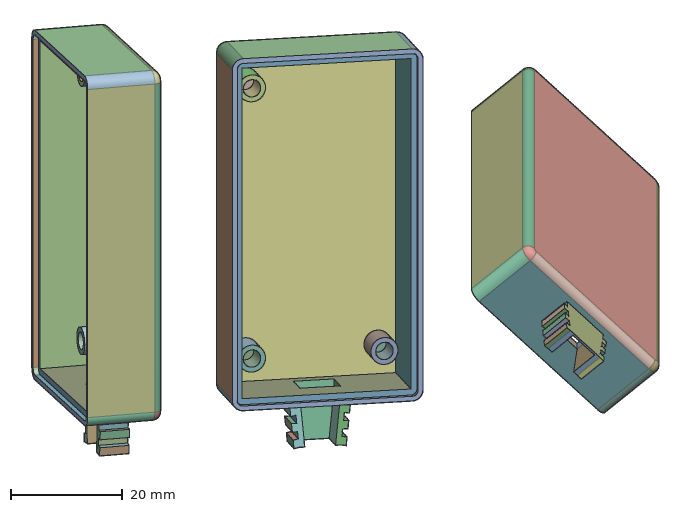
import cadquery as cq

width = 35.0
depth = 14.0
total_height = 74.1
relief_length = 9.1
height = total_height - relief_length
wall = 2.0
floor = 1.0
corner_radius = 2.0
back_radius = 1.5
lip_width = 0.9
lip_depth = 1.0

boss_diameter = 5.0
boss_bore = 3.2
boss_length = 5.5
boss_x = width / 2 - 5.3
boss_inset_z = 7.55

relief_front = 6.0
relief_depth = 5.5
relief_back_wall = 0.4
taper = 0.1
stem_half_width = 4.75
rib_half_width = 5.7
channel_half_width = 3.7
rib_droop = 0.185
ribs = [
    (1.55, 3.0, 0, rib_droop),
    (4.45, 6.0, 0, 0),
    (7.3, relief_length - rib_droop, rib_droop, rib_droop),
]


def box_between(x_size, y_start, y_end, z_start, z_end):
    """Box centred on X that spans the given Y and Z ranges."""
    return (
        cq.Workplane("XY")
        .box(x_size, y_end - y_start, z_end - z_start, centered=(True, False, False))
        .translate((0, y_start, z_start))
    )


def make_shell():
    """Rounded tray with a square-cornered cavity and a stepped rim."""
    body = box_between(width, 0, depth, 0, height)
    body = body.edges("|Y").fillet(corner_radius)
    body = body.faces(">Y").edges().fillet(back_radius)
    cavity = box_between(width - 2 * wall, 0, depth - floor, wall, height - wall)
    rim = box_between(width - 2 * lip_width, 0, lip_depth, lip_width, height - lip_width)
    rim = rim.edges("|Y").fillet(corner_radius - lip_width)
    return body.cut(cavity).cut(rim)


def make_bosses():
    """Three bored posts, leaving one upper corner free."""
    positions = [
        (-boss_x, boss_inset_z),
        (boss_x, boss_inset_z),
        (-boss_x, height - boss_inset_z),
    ]
    floor_y = depth - floor
    return (
        cq.Workplane("XZ", origin=(0, floor_y, 0))
        .pushPoints(positions)
        .circle(boss_diameter / 2)
        .circle(boss_bore / 2)
        .extrude(boss_length)
    )


def tapered(half_width, below):
    """Half width of a tapering side at a distance below the bottom wall."""
    return half_width - taper * below


def extrude_right_half(points, y_start, y_end):
    """Mirror a right-hand outline about X = 0 and extrude it along Y."""
    left = [(-x, z) for x, z in reversed(points)]
    return (
        cq.Workplane("XZ", origin=(0, y_start, 0))
        .polyline(points + left)
        .close()
        .extrude(y_start - y_end)
    )


def make_relief():
    """Tapered stem with three ribs on each side, rooted in the bottom wall."""
    outline = [(stem_half_width, wall / 2), (stem_half_width, 0)]
    for top, bottom, top_droop, bottom_droop in ribs:
        outer_top = top + top_droop
        outer_bottom = bottom + bottom_droop
        outline += [
            (tapered(stem_half_width, top), -top),
            (tapered(rib_half_width, outer_top), -outer_top),
            (tapered(rib_half_width, outer_bottom), -outer_bottom),
            (tapered(stem_half_width, bottom), -bottom),
        ]
    return extrude_right_half(outline, relief_front, relief_front + relief_depth)


def make_channel():
    """Tapered cable passage, open at the front of the relief and into the cavity."""
    outline = [
        (channel_half_width, wall),
        (channel_half_width, 0),
        (tapered(channel_half_width, relief_length), -relief_length),
    ]
    channel_back = relief_front + relief_depth - relief_back_wall
    return extrude_right_half(outline, relief_front, channel_back)


result = make_shell().union(make_relief()).cut(make_channel()).union(make_bosses())